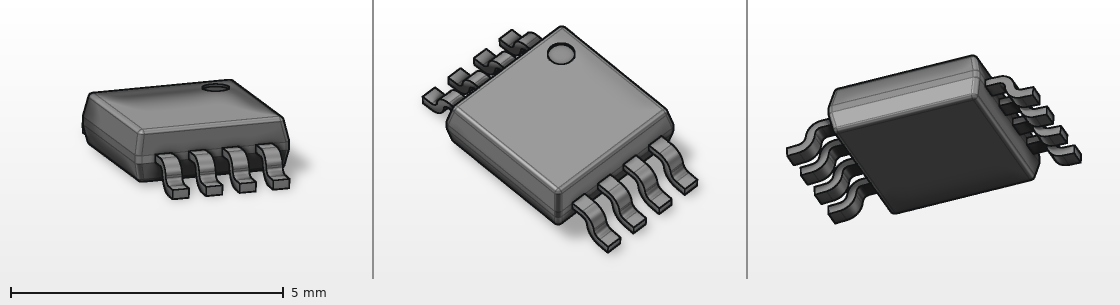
import cadquery as cq
import math


lead_span = 4.9
total_height = 1.07

housing_side = 3.0
housing_height = 1.0
upper_height = 0.455
band_height = 0.15
draft_angle = 11.7
edge_radius = 0.1

housing_bottom = total_height - housing_height
band_top = total_height - upper_height
band_bottom = band_top - band_height
lower_height = band_bottom - housing_bottom

marker_diameter = 0.5
marker_inset = 0.6
marker_depth = 0.05
marker_thickness = 0.05
marker_x = -housing_side / 2 + marker_inset
marker_y = housing_side / 2 - marker_inset

leads_per_side = 4
lead_pitch = 0.65
lead_width = 0.32
shoulder_thickness = band_height
foot_thickness = 0.18
shoulder_length = 0.265
riser_angle = math.radians(80)
foot_angle = math.radians(3)
riser_length = 0.04
upper_outer_radius = 0.31
lower_inner_radius = 0.15
lower_outer_radius = lower_inner_radius + foot_thickness
upper_inner_radius = (
    upper_outer_radius
    - foot_thickness
    - (upper_outer_radius - shoulder_thickness) * math.cos(riser_angle)
) / (1 - math.cos(riser_angle))


def make_marker_cylinder(top, depth):
    """Cylinder on the marker axis, reaching down from the height `top`."""
    return (
        cq.Workplane("XY", origin=(marker_x, marker_y, top))
        .circle(marker_diameter / 2)
        .extrude(-depth)
    )


def make_housing():
    """Square block drafted up and down from the parting band, with rounded edges."""
    band = (
        cq.Workplane("XY", origin=(0, 0, band_bottom))
        .rect(housing_side, housing_side)
        .extrude(band_height)
    )
    upper = (
        cq.Workplane("XY", origin=(0, 0, band_top))
        .rect(housing_side, housing_side)
        .extrude(upper_height, taper=draft_angle)
    )
    lower = (
        cq.Workplane("XY", origin=(0, 0, band_bottom))
        .rect(housing_side, housing_side)
        .extrude(-lower_height, taper=draft_angle)
    )
    block = band.union(upper).union(lower)
    block = block.edges("not #Z").fillet(edge_radius)
    block = block.faces("<Z or >Z").edges().fillet(edge_radius)
    recess = make_marker_cylinder(total_height, marker_depth + marker_thickness)
    return block.cut(recess).solids()


def make_marker():
    """Thin disc lying on the floor of the recess, below the housing top."""
    return make_marker_cylinder(total_height - marker_depth, marker_thickness)


def offset(point, distance, slope):
    """Point moved by `distance` at right angles to a line that falls towards -X at `slope`."""
    x, z = point
    return (x - distance * math.sin(slope), z + distance * math.cos(slope))


def slide(point, distance, slope):
    """Point moved towards -X by `distance` along a line falling at `slope`."""
    x, z = point
    return (x - distance * math.cos(slope), z - distance * math.sin(slope))


def make_left_lead(y):
    """Gull-wing lead on the -X side, centred on `y`, butting on the housing side."""
    root_x = -housing_side / 2
    bend_x = root_x - shoulder_length
    upper_mid_angle = riser_angle / 2
    lower_mid_angle = (riser_angle + foot_angle) / 2

    upper_outer_centre = (bend_x, band_top - upper_outer_radius)
    upper_inner_centre = (bend_x, band_bottom - upper_inner_radius)
    riser_top = offset(upper_outer_centre, upper_outer_radius, riser_angle)
    riser_foot = slide(riser_top, riser_length, riser_angle)
    lower_centre = offset(riser_foot, lower_inner_radius, riser_angle)

    foot_start = offset(lower_centre, -lower_inner_radius, foot_angle)
    foot_length = (foot_start[0] + lead_span / 2) / math.cos(foot_angle)
    toe_top = slide(foot_start, foot_length, foot_angle)
    toe_bottom = offset(toe_top, -foot_thickness, foot_angle)

    outline = (
        cq.Workplane("XZ", origin=(0, y + lead_width / 2, 0))
        .moveTo(root_x, band_top)
        .lineTo(bend_x, band_top)
        .threePointArc(offset(upper_outer_centre, upper_outer_radius, upper_mid_angle), riser_top)
        .lineTo(*riser_foot)
        .threePointArc(offset(lower_centre, -lower_inner_radius, lower_mid_angle), foot_start)
        .lineTo(*toe_top)
        .lineTo(*toe_bottom)
        .lineTo(*offset(lower_centre, -lower_outer_radius, foot_angle))
        .threePointArc(
            offset(lower_centre, -lower_outer_radius, lower_mid_angle),
            offset(lower_centre, -lower_outer_radius, riser_angle),
        )
        .lineTo(*offset(upper_inner_centre, upper_inner_radius, riser_angle))
        .threePointArc(
            offset(upper_inner_centre, upper_inner_radius, upper_mid_angle),
            (bend_x, band_bottom),
        )
        .lineTo(root_x, band_bottom)
        .close()
    )
    return outline.extrude(lead_width)


housing = make_housing()
marker = make_marker()

leads = []
for index in range(leads_per_side):
    lead_y = (index - (leads_per_side - 1) / 2) * lead_pitch
    left_lead = make_left_lead(lead_y)
    leads.append(left_lead.val())
    leads.append(left_lead.mirror("YZ").val())

result = cq.Compound.makeCompound([housing.val(), marker.val(), *leads])